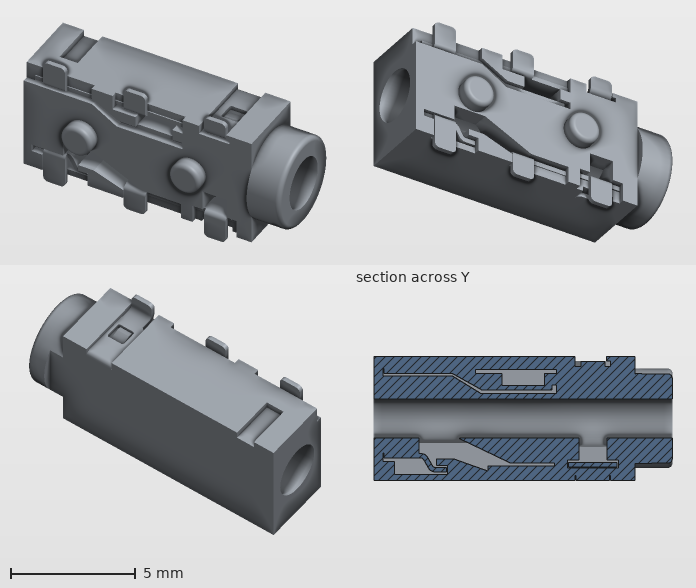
import cadquery as cq
import math


BODY_LENGTH = 10.5
BODY_DEPTH = 3.2
BODY_WIDTH = 5.0
TOTAL_LENGTH = 12.0
COLLAR_DIAMETER = 4.0
COLLAR_EDGE_RADIUS = 0.2
COLLAR_FLAT_END = 11.15
BORE_DIAMETER = 2.3

FRONT = -BODY_DEPTH / 2
BACK = BODY_DEPTH / 2
TOP = BODY_WIDTH / 2
BOTTOM = -TOP

PEG_DIAMETER = 1.4
PEG_HEIGHT = 0.6
PEG_EDGE_RADIUS = 0.2
PEG_POSITIONS = (2.7, 7.7)

SHEET = 0.2
SHEET_GAP = 0.03
TAB_WIDTH = 1.0
TAB_TIP = 3.0
TAB_CORNER_RADIUS = 0.2
TAB_PITCH = 3.7
TAB_REAR = 1.4
TAB_MIDDLE = TAB_REAR + TAB_PITCH
TAB_FRONT = TAB_MIDDLE + TAB_PITCH
SHEET_FRONT = FRONT + SHEET

SLOT_START = 0.37
STRIP_START = 0.4

POCKET_DEPTH = 0.25
POCKET_FLOOR = FRONT + POCKET_DEPTH
CHANNEL_FLOOR = -0.57
CONTACT_SLOT_FLOOR = -0.1
SHEET_EMBED = 0.1
SHEET_ROOT = CHANNEL_FLOOR + SHEET_EMBED

UPPER_REAR_TOP = 2.0
UPPER_STEP_TOP = 1.33
UPPER_STEP_START = 3.15
UPPER_STEP_END = 4.35
UPPER_STRIP_END = 7.17
UPPER_POCKET_END = 7.32
UPPER_REAR_LEDGE = 1.72
UPPER_STEP_LEDGE = 1.02
UPPER_LEDGE_STEP_END = 4.29
UPPER_REAR_POCKET_END = 3.13

UPPER_MIDDLE_START = 4.1
UPPER_MIDDLE_TOP = 2.15
UPPER_MIDDLE_LEDGE = 1.82
UPPER_NOTCH_START = 5.15
UPPER_NOTCH_END = 6.85

LOWER_REAR_TOP = -1.4
LOWER_REAR_LEDGE = -1.72
LOWER_REAR_WALL = 0.85
LOWER_REAR_END = 2.95
LOWER_REAR_SILL = -2.23
S_BEND_MIDDLE = 2.18
S_BEND_ANGLE = 60
S_BEND_DROP = 0.55
S_BEND_INNER_RADIUS = 0.1
S_BEND_END = 2.92

CHANNEL_START = 1.82
CHANNEL_TOP = -0.74
CHANNEL_SLOPE_START = 3.28
CHANNEL_SLOPE_END = 5.47
LOWER_MIDDLE_ROOF = -1.79
LOWER_MIDDLE_TOP = -1.9
LOWER_MIDDLE_START = 4.58
LOWER_MIDDLE_END = 7.24
BLOCK_START = 2.51
BLOCK_TOP = -1.62
BLOCK_SHOULDER = 3.23
BLOCK_UNDERSIDE = -1.9

LOWER_FRONT_START = 7.78
LOWER_FRONT_END = 9.81
LOWER_FRONT_ROOF = -1.68
LOWER_FRONT_TOP = -1.75
LOWER_FRONT_SILL = -1.97
CONTACT_SLOT_START = 8.25
CONTACT_SLOT_END = 9.35
CONTACT_SLOT_TOP = -0.78

PLATE_RECESS_START = 8.08
PLATE_RECESS_END = 9.33
PLATE_TOP = 2.3
PLATE_BOTTOM = PLATE_TOP - SHEET
PLATE_BEND_RADIUS = 0.4
PLATE_BACK_RADIUS = 0.19
PLATE_NECK = -0.8
PLATE_SHOULDER = -0.65
PLATE_SLOT_END = 9.49
PLATE_SLOT_DEPTH = 0.8
LOWER_SLOT_DEPTH = 0.6
LOWER_SHOULDER_LENGTH = 0.21
LOWER_SHOULDER_RADIUS = 0.2

WINDOW_SIZE = 0.8
WINDOW_CORNER_RADIUS = 0.1
LATCH_WIDTH = 0.58
LATCH_HEIGHT = 0.12
LATCH_RAMP_FOOT = 0.24
LATCH_RAMP_TOP = -0.16
LATCH_END = -0.35

GROOVE_START = 0.98
GROOVE_END = 1.82
GROOVE_STOP = -0.41
GROOVE_DEPTH = 0.3


def box(x_range, y_range, z_range):
    """Axis-aligned block given by its (low, high) limits."""
    lows = [limits[0] for limits in (x_range, y_range, z_range)]
    sizes = [limits[1] - limits[0] for limits in (x_range, y_range, z_range)]
    return cq.Workplane("XY").box(*sizes, centered=False).translate(tuple(lows))


def prism(outline, y_front, y_back):
    """Extrude an (x, z) outline from y_back toward the mounting face."""
    plane = cq.Workplane("XZ", origin=(0, y_back, 0))
    return plane.polyline(outline).close().extrude(y_back - y_front)


def x_cylinder(diameter, x_start, x_end):
    plane = cq.Workplane("YZ", origin=(x_start, 0, 0))
    return plane.circle(diameter / 2).extrude(x_end - x_start)


def make_housing():
    housing = box((0, BODY_LENGTH), (FRONT, BACK), (BOTTOM, TOP))
    groove = box((GROOVE_START, GROOVE_END), (GROOVE_STOP, BACK), (TOP - GROOVE_DEPTH, TOP))
    return housing.cut(groove)


def make_collar():
    """Round collar, cut flush with the back of the housing next to it."""
    collar = x_cylinder(COLLAR_DIAMETER, BODY_LENGTH, TOTAL_LENGTH)
    collar = collar.faces(">X").edges().fillet(COLLAR_EDGE_RADIUS)
    radius = COLLAR_DIAMETER / 2
    flat = box((BODY_LENGTH, COLLAR_FLAT_END), (BACK, radius), (-radius, radius))
    return collar.cut(flat)


def make_peg(x):
    peg = cq.Workplane("XZ", origin=(x, FRONT, 0)).circle(PEG_DIAMETER / 2).extrude(PEG_HEIGHT)
    return peg.faces("<Y").edges().fillet(PEG_EDGE_RADIUS)


def make_tab(x_center, bend_level, bend_radius):
    """Solder tab that leaves its sheet at bend_level and turns up to the tip."""
    inner_radius = bend_radius - SHEET
    bend_y = FRONT + bend_radius
    bend_z = bend_level + bend_radius
    tab = box(
        (x_center - TAB_WIDTH / 2, x_center + TAB_WIDTH / 2), (FRONT, bend_y), (bend_level, TAB_TIP)
    )
    tab = tab.edges("|Y and >Z").fillet(TAB_CORNER_RADIUS)
    corner = box(
        (x_center - TAB_WIDTH, x_center + TAB_WIDTH), (FRONT, bend_y), (bend_level, bend_z)
    )
    outer = cq.Workplane("YZ", origin=(x_center - TAB_WIDTH, bend_y, bend_z))
    outer_round = outer.circle(bend_radius).extrude(2 * TAB_WIDTH)
    tab = tab.cut(corner.cut(outer_round))
    if inner_radius > 0:
        inner_round = outer.circle(inner_radius).extrude(2 * TAB_WIDTH)
        behind = box(
            (x_center - TAB_WIDTH, x_center + TAB_WIDTH), (SHEET_FRONT, bend_y), (bend_z, TAB_TIP)
        )
        tab = tab.cut(inner_round).cut(behind)
    return tab


def make_lower_tab(x_center, bend_level):
    """Mirror image of a tight-bend tab, pointing down from bend_level."""
    return make_tab(x_center, -bend_level, SHEET).mirror("XY")


def cut_upper_recesses(body):
    step_profile = [
        (UPPER_REAR_POCKET_END, UPPER_REAR_TOP),
        (UPPER_STEP_END, UPPER_STEP_TOP),
        (UPPER_POCKET_END, UPPER_STEP_TOP),
        (UPPER_POCKET_END, UPPER_STEP_LEDGE),
        (UPPER_LEDGE_STEP_END, UPPER_STEP_LEDGE),
        (UPPER_STEP_START, UPPER_REAR_LEDGE),
    ]
    rear_pocket = [(0, TOP), (UPPER_REAR_POCKET_END, TOP)] + step_profile + [(0, UPPER_REAR_LEDGE)]
    strip_slot = [(SLOT_START, UPPER_REAR_TOP)] + step_profile + [(SLOT_START, UPPER_REAR_LEDGE)]
    middle_range = (UPPER_MIDDLE_START, UPPER_POCKET_END)
    middle_pocket = box(middle_range, (FRONT, POCKET_FLOOR), (UPPER_MIDDLE_LEDGE, TOP))
    middle_slot = box(middle_range, (FRONT, CHANNEL_FLOOR), (UPPER_MIDDLE_LEDGE, UPPER_MIDDLE_TOP))
    notch = box(
        (UPPER_NOTCH_START, UPPER_NOTCH_END),
        (FRONT, CHANNEL_FLOOR),
        (UPPER_STEP_TOP, UPPER_MIDDLE_LEDGE),
    )
    body = body.cut(prism(rear_pocket, FRONT, POCKET_FLOOR))
    body = body.cut(prism(strip_slot, FRONT, CHANNEL_FLOOR))
    return body.cut(middle_pocket).cut(middle_slot).cut(notch)


def add_upper_contacts(body):
    strip = [
        (STRIP_START, UPPER_REAR_TOP),
        (UPPER_STEP_START, UPPER_REAR_TOP),
        (UPPER_STEP_END, UPPER_STEP_TOP),
        (UPPER_STRIP_END, UPPER_STEP_TOP),
        (UPPER_STRIP_END, UPPER_STEP_TOP - SHEET),
        (UPPER_STEP_END, UPPER_STEP_TOP - SHEET),
        (UPPER_STEP_START, UPPER_REAR_TOP - SHEET),
        (STRIP_START, UPPER_REAR_TOP - SHEET),
    ]
    middle_strip = box(
        (UPPER_MIDDLE_START, UPPER_POCKET_END),
        (SHEET_FRONT, SHEET_ROOT),
        (UPPER_MIDDLE_TOP - SHEET, UPPER_MIDDLE_TOP),
    )
    body = body.union(prism(strip, SHEET_FRONT, SHEET_ROOT)).union(middle_strip)
    body = body.union(make_tab(TAB_REAR, UPPER_REAR_TOP - SHEET, SHEET))
    return body.union(make_tab(TAB_MIDDLE, UPPER_MIDDLE_TOP - SHEET, SHEET))


def cut_lower_recesses(body):
    middle_floor = LOWER_MIDDLE_TOP - SHEET
    channel = [
        (CHANNEL_START, CHANNEL_TOP),
        (CHANNEL_SLOPE_START, CHANNEL_TOP),
        (CHANNEL_SLOPE_END, LOWER_MIDDLE_ROOF),
        (LOWER_MIDDLE_END, LOWER_MIDDLE_ROOF),
        (LOWER_MIDDLE_END, middle_floor),
        (LOWER_MIDDLE_START, middle_floor),
        (BLOCK_SHOULDER, BLOCK_TOP),
        (BLOCK_START, BLOCK_TOP),
        (BLOCK_START, BLOCK_UNDERSIDE),
        (LOWER_REAR_END, BLOCK_UNDERSIDE),
        (LOWER_REAR_END, LOWER_REAR_SILL),
        (LOWER_REAR_WALL, LOWER_REAR_SILL),
        (LOWER_REAR_WALL, LOWER_REAR_LEDGE),
        (SLOT_START, LOWER_REAR_LEDGE),
        (SLOT_START, LOWER_REAR_TOP),
        (CHANNEL_START, LOWER_REAR_TOP),
    ]
    pocket_depth = (FRONT, POCKET_FLOOR)
    rear_pocket = box((LOWER_REAR_WALL, LOWER_REAR_END), pocket_depth, (BOTTOM, LOWER_REAR_SILL))
    middle_pocket = box((LOWER_MIDDLE_START, LOWER_MIDDLE_END), pocket_depth, (BOTTOM, middle_floor))
    front_pocket = box(
        (LOWER_FRONT_START, LOWER_FRONT_END), pocket_depth, (BOTTOM, LOWER_FRONT_SILL)
    )
    front_slot = box(
        (LOWER_FRONT_START, LOWER_FRONT_END),
        (FRONT, CHANNEL_FLOOR),
        (LOWER_FRONT_SILL, LOWER_FRONT_ROOF),
    )
    contact_slot = box(
        (CONTACT_SLOT_START, CONTACT_SLOT_END),
        (FRONT, CONTACT_SLOT_FLOOR),
        (LOWER_FRONT_TOP - SHEET, CONTACT_SLOT_TOP),
    )
    slot_end = POCKET_FLOOR + LOWER_SLOT_DEPTH
    plate_slot = box(
        (PLATE_RECESS_START, PLATE_SLOT_END),
        (POCKET_FLOOR, slot_end),
        (BOTTOM, -PLATE_TOP),
    )
    shoulder = box(
        (PLATE_RECESS_START, PLATE_SLOT_END),
        (slot_end - LOWER_SHOULDER_LENGTH, slot_end),
        (BOTTOM, -PLATE_TOP),
    )
    shoulder = shoulder.edges("|Z and <Y").fillet(LOWER_SHOULDER_RADIUS)
    plate_slot = plate_slot.cut(shoulder)
    body = body.cut(prism(channel, FRONT, CHANNEL_FLOOR)).cut(rear_pocket).cut(middle_pocket)
    body = body.cut(front_pocket).cut(front_slot)
    return body.cut(contact_slot).cut(plate_slot)


def make_s_strip():
    """Rear contact strip whose free end swings down in an S and runs out level."""
    low_top = LOWER_REAR_TOP - S_BEND_DROP
    half_run = S_BEND_DROP / math.tan(math.radians(S_BEND_ANGLE)) / 2
    corner_shift = SHEET / 2 * math.tan(math.radians(S_BEND_ANGLE / 2))
    upper_middle = S_BEND_MIDDLE + corner_shift
    lower_middle = S_BEND_MIDDLE - corner_shift
    high_outer = (upper_middle - half_run, LOWER_REAR_TOP)
    low_inner = (upper_middle + half_run, low_top)
    low_outer = (lower_middle + half_run, low_top - SHEET)
    high_inner = (lower_middle - half_run, LOWER_REAR_TOP - SHEET)
    outline = [
        (STRIP_START, LOWER_REAR_TOP),
        high_outer,
        low_inner,
        (S_BEND_END, low_top),
        (S_BEND_END, low_top - SHEET),
        low_outer,
        high_inner,
        (STRIP_START, LOWER_REAR_TOP - SHEET),
    ]
    strip = prism(outline, SHEET_FRONT, SHEET_ROOT)
    outer_radius = S_BEND_INNER_RADIUS + SHEET
    middle_y = (SHEET_FRONT + SHEET_ROOT) / 2
    bends = (
        (high_outer, outer_radius),
        (high_inner, S_BEND_INNER_RADIUS),
        (low_inner, S_BEND_INNER_RADIUS),
        (low_outer, outer_radius),
    )
    for (x, z), radius in bends:
        bend_edge = cq.selectors.NearestToPointSelector((x, middle_y, z))
        strip = strip.edges("|Y").edges(bend_edge).fillet(radius)
    return strip


def add_lower_contacts(body):
    middle_strip = box(
        (LOWER_MIDDLE_START, LOWER_MIDDLE_END),
        (SHEET_FRONT, SHEET_ROOT),
        (LOWER_MIDDLE_TOP - SHEET, LOWER_MIDDLE_TOP),
    )
    front_strip = box(
        (LOWER_FRONT_START + SHEET_GAP, LOWER_FRONT_END - SHEET_GAP),
        (SHEET_FRONT, SHEET_ROOT),
        (LOWER_FRONT_TOP - SHEET, LOWER_FRONT_TOP),
    )
    front_tongue = box(
        (CONTACT_SLOT_START, CONTACT_SLOT_END),
        (SHEET_FRONT, CONTACT_SLOT_FLOOR),
        (LOWER_FRONT_TOP - SHEET, LOWER_FRONT_TOP),
    )
    body = body.union(make_s_strip()).union(middle_strip)
    body = body.union(front_strip).union(front_tongue)
    body = body.union(make_lower_tab(TAB_REAR, LOWER_REAR_TOP))
    body = body.union(make_lower_tab(TAB_MIDDLE, LOWER_MIDDLE_TOP))
    return body.union(make_lower_tab(TAB_FRONT, LOWER_FRONT_TOP))


def make_plate():
    """Ground plate: wide behind, necked to the tab width in front, rounded over the back."""
    plate_start = PLATE_RECESS_START + SHEET_GAP
    tab_start = TAB_FRONT - TAB_WIDTH / 2
    tab_end = TAB_FRONT + TAB_WIDTH / 2
    tab_root = FRONT + PLATE_BEND_RADIUS
    outline = [
        (plate_start, BACK),
        (PLATE_RECESS_END, BACK),
        (PLATE_RECESS_END, PLATE_NECK),
        (tab_end, PLATE_NECK),
        (tab_end, tab_root),
        (tab_start, tab_root),
        (tab_start, PLATE_NECK),
        (plate_start, PLATE_SHOULDER),
    ]
    plane = cq.Workplane("XY", origin=(0, 0, PLATE_BOTTOM))
    plate = plane.polyline(outline).close().extrude(SHEET)
    plate = plate.edges(">Y and >Z").fillet(PLATE_BACK_RADIUS)
    window = plane.center(TAB_FRONT, 0).rect(WINDOW_SIZE, WINDOW_SIZE).extrude(SHEET)
    window = window.edges("|Z").fillet(WINDOW_CORNER_RADIUS)
    latch_profile = [
        (LATCH_RAMP_FOOT, PLATE_BOTTOM),
        (LATCH_RAMP_TOP, PLATE_BOTTOM + LATCH_HEIGHT),
        (LATCH_END, PLATE_BOTTOM + LATCH_HEIGHT),
        (LATCH_END, PLATE_BOTTOM),
    ]
    latch_plane = cq.Workplane("YZ", origin=(TAB_FRONT - LATCH_WIDTH / 2, 0, 0))
    latch = latch_plane.polyline(latch_profile).close().extrude(LATCH_WIDTH)
    return plate.cut(window).union(latch)


def add_plate(body):
    recess = box((PLATE_RECESS_START, PLATE_RECESS_END), (FRONT, BACK), (PLATE_BOTTOM, TOP))
    side_slot = box(
        (PLATE_RECESS_END, PLATE_SLOT_END),
        (FRONT, FRONT + PLATE_SLOT_DEPTH),
        (PLATE_BOTTOM, PLATE_TOP),
    )
    body = body.cut(recess).cut(side_slot).union(make_plate())
    return body.union(make_tab(TAB_FRONT, PLATE_BOTTOM, PLATE_BEND_RADIUS))


result = make_housing().union(make_collar())
for peg_x in PEG_POSITIONS:
    result = result.union(make_peg(peg_x))
result = cut_upper_recesses(result)
result = cut_lower_recesses(result)
result = result.cut(x_cylinder(BORE_DIAMETER, 0, TOTAL_LENGTH))
result = add_upper_contacts(result)
result = add_lower_contacts(result)
result = add_plate(result)